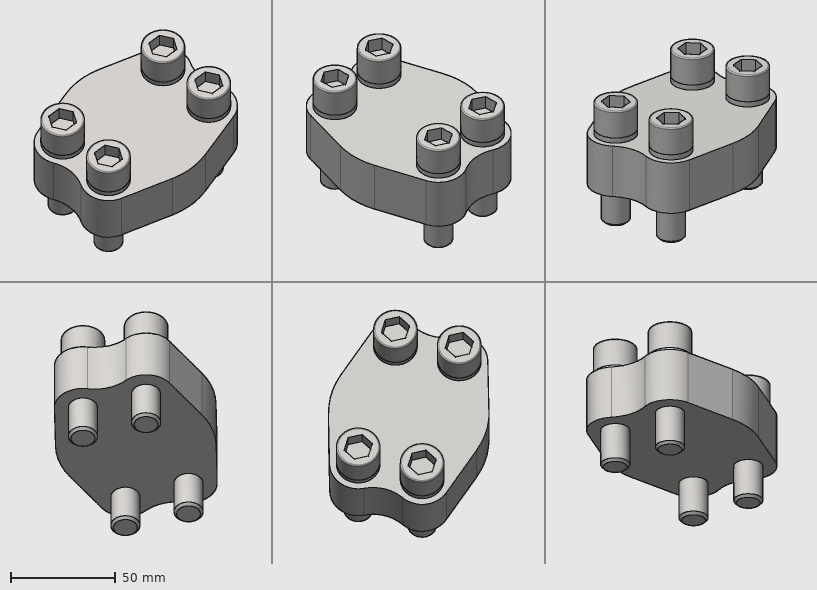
import cadquery as cq
import math

plate_length = 94.0
plate_width = 77.0
plate_thickness = 27.2
bolt_x = 15.9
bolt_y = 33.3
scallop_radius = 20.9

head_diameter = 21.0
washer_diameter = 21.1
washer_thickness = 2.7
head_height = 14.3
head_edge_fillet = 0.7
shank_diameter = 14.0
shank_projection = 19.8
shank_chamfer = 1.3
socket_across_flats = 12.0
socket_depth = 7.05

side_radius = plate_width / 2
corner_radius = plate_length / 2 - bolt_y

center_distance = math.hypot(bolt_x, bolt_y)
flank_angle = math.atan2(bolt_y, bolt_x) - math.acos((side_radius - corner_radius) / center_distance)
flank_x = math.cos(flank_angle)
flank_y = math.sin(flank_angle)

scallop_reach = corner_radius + scallop_radius
scallop_center_y = bolt_y + math.sqrt(scallop_reach**2 - bolt_x**2)
scallop_bottom_y = scallop_center_y - scallop_radius
scallop_end_x = bolt_x * scallop_radius / scallop_reach
scallop_end_y = bolt_y + (scallop_center_y - bolt_y) * corner_radius / scallop_reach

corner_flank_x = bolt_x + corner_radius * flank_x
corner_flank_y = bolt_y + corner_radius * flank_y
scallop_angle = math.atan2(scallop_end_y - bolt_y, scallop_end_x - bolt_x)
corner_mid_angle = (flank_angle + scallop_angle) / 2
corner_mid_x = bolt_x + corner_radius * math.cos(corner_mid_angle)
corner_mid_y = bolt_y + corner_radius * math.sin(corner_mid_angle)
side_end_x = side_radius * flank_x
side_end_y = side_radius * flank_y


def make_plate():
    """Extrude the closed tangent outline upward from Z = 0."""
    outline = cq.Workplane("XY").moveTo(side_end_x, -side_end_y)
    for turn in (1, -1):
        outline = (
            outline.threePointArc((turn * side_radius, 0), (turn * side_end_x, turn * side_end_y))
            .lineTo(turn * corner_flank_x, turn * corner_flank_y)
            .threePointArc(
                (turn * corner_mid_x, turn * corner_mid_y),
                (turn * scallop_end_x, turn * scallop_end_y),
            )
            .threePointArc(
                (0, turn * scallop_bottom_y),
                (-turn * scallop_end_x, turn * scallop_end_y),
            )
            .threePointArc(
                (-turn * corner_mid_x, turn * corner_mid_y),
                (-turn * corner_flank_x, turn * corner_flank_y),
            )
            .lineTo(-turn * side_end_x, turn * side_end_y)
        )
    return outline.close().extrude(plate_thickness)


def make_screw():
    """Build a screw on the Z axis, with its washer resting on the plate top."""
    shank = (
        cq.Workplane("XY", origin=(0, 0, -shank_projection))
        .circle(shank_diameter / 2)
        .extrude(shank_projection + plate_thickness)
        .faces("<Z")
        .chamfer(shank_chamfer)
    )
    washer = (
        cq.Workplane("XY", origin=(0, 0, plate_thickness))
        .circle(washer_diameter / 2)
        .extrude(washer_thickness)
    )
    head_top = plate_thickness + washer_thickness + head_height
    head = (
        cq.Workplane("XY", origin=(0, 0, plate_thickness + washer_thickness))
        .circle(head_diameter / 2)
        .extrude(head_height)
        .faces(">Z")
        .edges()
        .fillet(head_edge_fillet)
    )
    socket_across_corners = socket_across_flats / math.cos(math.pi / 6)
    socket = (
        cq.Workplane("XY", origin=(0, 0, head_top))
        .transformed(rotate=(0, 0, 90))
        .polygon(6, socket_across_corners)
        .extrude(-socket_depth)
    )
    return shank.union(washer).union(head).cut(socket)


result = make_plate()
screw = make_screw()
for x in (-bolt_x, bolt_x):
    for y in (-bolt_y, bolt_y):
        result = result.union(screw.translate((x, y, 0)))